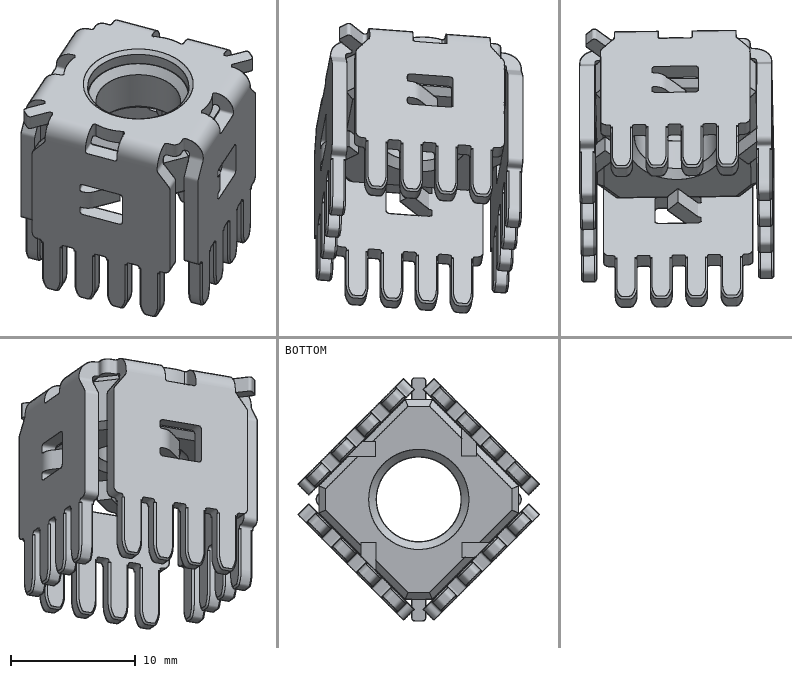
import cadquery as cq
import math

WALL_DIRECTIONS = (45, 135, 225, 315)

sheet = 1.2
outer_face = 7.7
inner_face = outer_face - sheet
bend_outer = 1.5
bend_inner = bend_outer - sheet
bend_line = outer_face - bend_outer
small_round = 0.2
match_tolerance = 0.002

plate_half = 5.99
plate_corner_round = 0.58
tab_half_width = 0.57
tab_reach = 9.75
tab_end_round = 0.25
bore_radius = 4.05
bore_bevel_width = 0.35
bore_bevel_depth = 0.27

strip_end = 4.88
slot_half = 1.36
slot_floor = -1.75
slot_bulge = 0.2

wall_half = 5.99
shoulder_top = -1.7
shoulder_bottom = -3.08
shoulder_round = 0.5
wall_bottom = -12.0

window_half = 1.85
window_top = -5.1
window_bottom = -8.2
window_round = 0.3
tongue_top = -5.87
tongue_bottom = -7.5
tongue_root = 0.2
tongue_root_round = 0.18
tongue_bend_outer = 1.27
tongue_length = 2.26
tongue_angle = math.radians(45)

pin_count = 4
pin_pitch = 2.83
pin_half = 0.88
pin_row_shift = -0.05
pin_bevel = 0.15
pin_bevel_top = wall_bottom - 0.27
pin_bottom = -17.0
pin_tip_height = 1.25
pin_tip_half = 0.47
pin_tip_round = 0.35

nut_half = 6.44
nut_corner_flat = 8.01
nut_top = -sheet
nut_bottom = -5.73
nut_bevel = 0.55
thread_radius = 3.4
countersink = 0.62

pin_centres = [(i - (pin_count - 1) / 2) * pin_pitch + pin_row_shift for i in range(pin_count)]


def turned_to_walls(shape):
    """Four copies of a -Y facing shape, fused, one for each wall."""
    copies = cq.Workplane("XY")
    for angle in WALL_DIRECTIONS:
        copies = copies.union(shape.rotate((0, 0, 0), (0, 0, 1), angle))
    return copies


def wall_slab(sketch):
    """Extrude a closed (X, Z) outline through the thickness of the -Y wall."""
    return sketch.extrude(sheet).translate((0, -inner_face, 0))


def box_between(x_range, y_range, z_range):
    """Box given by its limits along each axis."""
    sizes = [high - low for low, high in (x_range, y_range, z_range)]
    start = (x_range[0], y_range[0], z_range[0])
    return cq.Workplane("XY").box(*sizes, centered=False).translate(start)


def round_corners(slab, points, radius):
    """Fillet the edges along Y that pass through the given (X, Z) points."""

    def is_chosen(edge):
        centre = edge.Center()
        return any(math.hypot(centre.x - x, centre.z - z) < match_tolerance for x, z in points)

    return slab.newObject([e for e in slab.edges("|Y").vals() if is_chosen(e)]).fillet(radius)


def round_uprights(solid, reaches, radius):
    """Fillet the vertical edges that stand at the given distances from the centre axis."""

    def is_chosen(edge):
        centre = edge.Center()
        distance = math.hypot(centre.x, centre.y)
        return any(abs(distance - reach) < match_tolerance for reach in reaches)

    return solid.newObject([e for e in solid.edges("|Z").vals() if is_chosen(e)]).fillet(radius)


def make_plate():
    """Flat top plate with corner tabs, strip roots, slot bulges and the bevelled bore."""
    plate = cq.Workplane("XY").rect(2 * plate_half, 2 * plate_half).extrude(-sheet)
    plate = plate.edges("|Z").fillet(plate_corner_round)
    roots = cq.Workplane("XY")
    for low, high in ((-strip_end, -slot_half), (slot_half, strip_end)):
        roots = roots.union(box_between((low, high), (-bend_line, 0), (-sheet, 0)))
    plate = plate.rotate((0, 0, 0), (0, 0, 1), 45).union(turned_to_walls(roots))
    plate = plate.union(box_between((-tab_half_width, tab_half_width), (-tab_reach, tab_reach), (-sheet, 0)))

    root_reaches = [math.hypot(plate_half, x) for x in (slot_half, strip_end)]
    tab_foot_reach = math.hypot(tab_half_width, plate_half * math.sqrt(2) - tab_half_width)
    plate = round_uprights(plate, root_reaches + [tab_foot_reach], small_round)
    plate = round_uprights(plate, [math.hypot(tab_half_width, tab_reach)], tab_end_round)

    bulge_half = slot_half - small_round
    bulge = (
        cq.Workplane("XY")
        .moveTo(-bulge_half, -plate_half)
        .threePointArc((0, -plate_half - slot_bulge), (bulge_half, -plate_half))
        .close()
        .extrude(-sheet)
    )
    plate = plate.union(turned_to_walls(bulge))

    bore = cq.Workplane("XY").circle(bore_radius).extrude(-sheet)
    rim = cq.Solid.makeCone(
        bore_radius + bore_bevel_width, bore_radius, bore_bevel_depth, dir=cq.Vector(0, 0, -1)
    )
    return plate.cut(bore).cut(cq.Workplane(rim))


def make_bend_strip(start):
    """Quarter-round strip joining plate and wall, running along X from start."""
    diagonal = math.sqrt(0.5)
    return (
        cq.Workplane("YZ", origin=(start, 0, 0))
        .moveTo(-bend_line, 0)
        .threePointArc(
            (-bend_line - bend_outer * diagonal, bend_outer * (diagonal - 1)), (-outer_face, -bend_outer)
        )
        .lineTo(-inner_face, -bend_outer)
        .threePointArc(
            (-bend_line - bend_inner * diagonal, bend_inner * diagonal - bend_outer), (-bend_line, -sheet)
        )
        .close()
        .extrude(strip_end - slot_half)
    )


def make_wall_panel():
    """Wall with sloped shoulders, rounded corners and the stubs of the pins."""
    right_side = [
        (strip_end, -bend_outer),
        (strip_end, shoulder_top),
        (wall_half, shoulder_bottom),
        (wall_half, wall_bottom),
    ]
    comb = []
    for centre in reversed(pin_centres):
        comb += [
            (centre + pin_half, wall_bottom),
            (centre + pin_half, pin_bevel_top),
            (centre - pin_half, pin_bevel_top),
            (centre - pin_half, wall_bottom),
        ]
    left_side = [(-x, z) for x, z in reversed(right_side)]
    panel = wall_slab(cq.Workplane("XZ").polyline(right_side + comb + left_side).close())

    shoulder_points = right_side[1:] + left_side[:-1]
    panel = round_corners(panel, shoulder_points, shoulder_round)
    roots = [(x + side * pin_half, wall_bottom) for x in pin_centres for side in (-1, 1)]
    return round_corners(panel, roots, small_round)


def make_slot_cut():
    """Slot sunk into the top of the wall between the bend strips."""
    slot = box_between((-slot_half, slot_half), (-outer_face, -inner_face), (slot_floor, 0))
    return slot.edges("|Y and <Z").fillet(small_round)


def make_window_cut():
    """Rounded rectangular opening through the wall."""
    window = box_between(
        (-window_half, window_half), (-outer_face, -inner_face), (window_bottom, window_top)
    )
    return window.edges("|Y").fillet(window_round)


def make_tongue():
    """Tongue running from the left side of the window and bending inward below the nut."""
    bend_start = tongue_root - window_half
    bend_centre_y = tongue_bend_outer - outer_face
    tongue_bend_inner = tongue_bend_outer - sheet

    def on_bend(radius, angle, beyond=0):
        x = bend_start + radius * math.sin(angle) + beyond * math.cos(angle)
        y = bend_centre_y - radius * math.cos(angle) + beyond * math.sin(angle)
        return (x, y)

    half_angle = tongue_angle / 2
    return (
        cq.Workplane("XY", origin=(0, 0, tongue_bottom))
        .moveTo(-window_half, -outer_face)
        .lineTo(bend_start, -outer_face)
        .threePointArc(on_bend(tongue_bend_outer, half_angle), on_bend(tongue_bend_outer, tongue_angle))
        .lineTo(*on_bend(tongue_bend_outer, tongue_angle, tongue_length))
        .lineTo(*on_bend(tongue_bend_inner, tongue_angle, tongue_length))
        .lineTo(*on_bend(tongue_bend_inner, tongue_angle))
        .threePointArc(on_bend(tongue_bend_inner, half_angle), (bend_start, -inner_face))
        .lineTo(-window_half, -inner_face)
        .close()
        .extrude(tongue_top - tongue_bottom)
    )


def make_pin(centre):
    """Pin with a tapering round tip and bevelled edges on both faces."""
    tip_start = pin_bottom + pin_tip_height
    tip_inset = pin_half - pin_tip_half
    tip_radius = (pin_tip_height**2 + tip_inset**2) / (2 * tip_inset)
    half_sweep = math.asin(pin_tip_height / tip_radius) / 2
    mid_x = pin_half - tip_radius * (1 - math.cos(half_sweep))
    mid_z = tip_start - tip_radius * math.sin(half_sweep)
    pin = wall_slab(
        cq.Workplane("XZ")
        .moveTo(-pin_half, pin_bevel_top)
        .lineTo(pin_half, pin_bevel_top)
        .lineTo(pin_half, tip_start)
        .threePointArc((mid_x, mid_z), (pin_tip_half, pin_bottom))
        .lineTo(-pin_tip_half, pin_bottom)
        .threePointArc((-mid_x, mid_z), (-pin_half, tip_start))
        .close()
    )
    pin = round_corners(pin, [(-pin_tip_half, pin_bottom), (pin_tip_half, pin_bottom)], pin_tip_round)
    face_edges = pin.faces("<Y or >Y").edges().vals()
    bevelled = [edge for edge in face_edges if edge.Center().z < pin_bevel_top - match_tolerance]
    return pin.newObject(bevelled).chamfer(pin_bevel).translate((centre, 0, 0))


def make_wall():
    """Complete wall facing -Y with bend strips, window, tongue and pins."""
    wall = make_wall_panel().cut(make_slot_cut()).cut(make_window_cut())
    for start in (-strip_end, slot_half):
        wall = wall.union(make_bend_strip(start))
    for centre in pin_centres:
        wall = wall.union(make_pin(centre))
    wall = wall.union(make_tongue())
    tongue_corners = [(-window_half, z) for z in (tongue_top, tongue_bottom)]
    return round_corners(wall, tongue_corners, tongue_root_round)


def make_nut():
    """Square nut with cut corners, bevelled rims and a countersunk through hole."""
    height = nut_top - nut_bottom
    square = cq.Workplane("XY", origin=(0, 0, nut_bottom)).rect(2 * nut_half, 2 * nut_half).extrude(height)
    corner_limit = (
        cq.Workplane("XY", origin=(0, 0, nut_bottom))
        .rect(2 * nut_corner_flat, 2 * nut_corner_flat)
        .extrude(height)
    )
    nut = square.rotate((0, 0, 0), (0, 0, 1), 45).intersect(corner_limit)
    nut = nut.faces("<Z or >Z").edges().chamfer(nut_bevel)
    nut = nut.faces(">Z").workplane(origin=(0, 0, nut_top)).hole(2 * thread_radius)
    return nut.faces("<Z or >Z").edges("%CIRCLE").chamfer(countersink)


result = make_plate().union(turned_to_walls(make_wall())).union(make_nut())